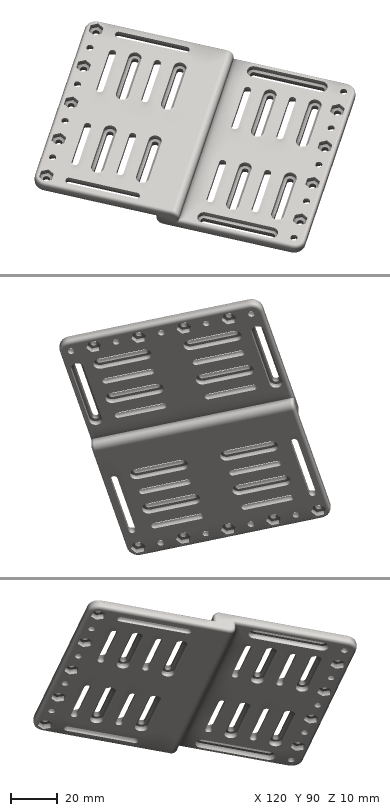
import cadquery as cq
import math

length = 120.0
pitch = length / 12
width = 9 * pitch
leaf_thickness = pitch / 2
overlap = pitch

corner_radius = pitch / 2
step_radius = 3.0
rim_radius = 1.5

screw_width = 3.0
nut_width = 5.6
nut_across_corners = nut_width / math.cos(math.radians(30))
recess_depth = 2.5

edge_margin = pitch / 2
hole_x = length / 2 - edge_margin
hole_rows = 9
hole_row_ys = [(row - (hole_rows - 1) / 2) * pitch for row in range(hole_rows)]
columns_per_leaf = 4
cross_slot_travel = 2 * pitch
cross_slot_offset = 2 * pitch
cross_slot_ys = [-cross_slot_offset, cross_slot_offset]
edge_slot_travel = (columns_per_leaf - 1) * pitch
edge_slot_ys = [-width / 2 + edge_margin, width / 2 - edge_margin]

left_first_column_x = -hole_x + pitch
right_first_column_x = hole_x - columns_per_leaf * pitch
left_bottom_z = leaf_thickness
right_bottom_z = 0


def plate(center_x, size_x, bottom_z):
    """Rectangular slab of one leaf thickness."""
    slab = cq.Workplane("XY", origin=(center_x, 0, bottom_z))
    return slab.rect(size_x, width).extrude(leaf_thickness)


def stepped_body():
    """Upper left and lower right leaf, joined by the overlap and rounded all along the rim."""
    leaf_length = (length + overlap) / 2
    leaf_center_x = (length - leaf_length) / 2
    upper = plate(-leaf_center_x, leaf_length, leaf_thickness)
    upper = upper.edges("|Z and <X").fillet(corner_radius)
    upper = upper.edges(">X and >Z").fillet(step_radius)
    lower = plate(leaf_center_x, leaf_length, 0)
    lower = lower.edges("|Z and >X").fillet(corner_radius)
    lower = lower.edges("<X and <Z").fillet(step_radius)
    return upper.union(lower).faces("<Y or >Y").edges().fillet(rim_radius)


def slot(center, travel, slot_width, angle, bottom_z, depth):
    """Round-ended slot cutter rising from bottom_z."""
    plane = cq.Workplane("XY", origin=(*center, bottom_z))
    return plane.slot2D(travel + slot_width, slot_width, angle).extrude(depth)


def recess_bottom(leaf_bottom_z, from_above):
    """Lower end of a recess sunk into a leaf from its top face, or else from its underside."""
    if from_above:
        return leaf_bottom_z + leaf_thickness - recess_depth
    return leaf_bottom_z


def cut_slot(body, center, travel, angle, leaf_bottom_z, from_above):
    """Through slot with a wider nut channel along one face of the leaf."""
    channel_z = recess_bottom(leaf_bottom_z, from_above)
    body = body.cut(slot(center, travel, screw_width, angle, leaf_bottom_z, leaf_thickness))
    return body.cut(slot(center, travel, nut_width, angle, channel_z, recess_depth))


def cut_hole(body, center, leaf_bottom_z, from_above):
    """Through hole with a hexagonal nut pocket, one corner along Y, in one face of the leaf."""
    hole = cq.Workplane("XY", origin=(*center, leaf_bottom_z))
    body = body.cut(hole.circle(screw_width / 2).extrude(leaf_thickness))
    pocket = cq.Workplane("XY", origin=(*center, recess_bottom(leaf_bottom_z, from_above)))
    pocket = pocket.transformed(rotate=(0, 0, 90)).polygon(6, nut_across_corners)
    return body.cut(pocket.extrude(recess_depth))


result = stepped_body()

for row, y in enumerate(hole_row_ys):
    left_from_above = row % 2 == 0
    result = cut_hole(result, (-hole_x, y), left_bottom_z, left_from_above)
    result = cut_hole(result, (hole_x, y), right_bottom_z, not left_from_above)

for first_x, bottom_z, edge_slots_from_above in [
    (left_first_column_x, left_bottom_z, False),
    (right_first_column_x, right_bottom_z, True),
]:
    for column in range(columns_per_leaf):
        for y in cross_slot_ys:
            center = (first_x + column * pitch, y)
            result = cut_slot(result, center, cross_slot_travel, 90, bottom_z, column % 2 == 1)

    for y in edge_slot_ys:
        center = (first_x + edge_slot_travel / 2, y)
        result = cut_slot(result, center, edge_slot_travel, 0, bottom_z, edge_slots_from_above)